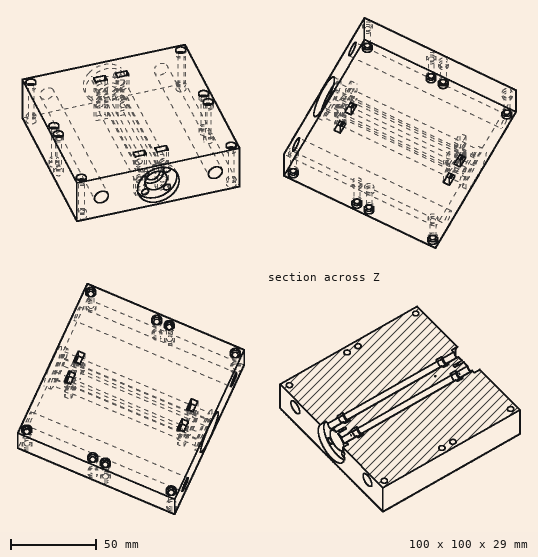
import cadquery as cq
import math

side = 100
height = 29

screw_inset = 4
screw_hole_dia = 3.4
screw_head_dia = 5.8
screw_head_depth = 3.5

rod_dia = 8.5
rod_offset = 35

lead_bore_dia = 8.5
nut_body_dia = 13.5
nut_body_depth = 10.5
flange_dia = 25.5
flange_depth = 4.1

bolt_hole_dia = 4.2
bolt_circle_dia = 19
trap_width = 6.9
trap_length = 4
trap_setback = 12

bolt_offset = bolt_circle_dia / 2 * math.sin(math.radians(45))
half_side = side / 2
half_height = height / 2
screw_outer = half_side - screw_inset
screw_points = [
    (x, y)
    for x in (-screw_outer, -screw_inset, screw_inset, screw_outer)
    for y in (-screw_outer, screw_outer)
]
bolt_points = [(y, z) for y in (-bolt_offset, bolt_offset) for z in (-bolt_offset, bolt_offset)]


def bores_along_x(points, diameter, start, length):
    """Cylinders parallel to X at the given (y, z) points, running from x = start."""
    return (
        cq.Workplane("YZ", origin=(start, 0, 0))
        .pushPoints(points)
        .circle(diameter / 2)
        .extrude(length)
    )


def screw_holes():
    """Vertical through holes with a head counterbore at the top and at the bottom."""
    top_head_floor = half_height - screw_head_depth
    cutter = (
        cq.Workplane("XY", origin=(0, 0, -half_height))
        .pushPoints(screw_points)
        .circle(screw_hole_dia / 2)
        .extrude(height)
    )
    for head_base in (-half_height, top_head_floor):
        heads = (
            cq.Workplane("XY", origin=(0, 0, head_base))
            .pushPoints(screw_points)
            .circle(screw_head_dia / 2)
            .extrude(screw_head_depth)
        )
        cutter = cutter.union(heads)
    return cutter


def nut_trap(y_sign, z_sign):
    """Slot at the -X end, open at the top or bottom face, with a V floor that fits a hexagonal nut."""
    half_width = trap_width / 2
    half_flat_angle = math.radians(30)
    corner_drop = half_width * math.tan(half_flat_angle)
    corner_radius = half_width / math.cos(half_flat_angle)
    centre_y = y_sign * bolt_offset
    mouth_z = z_sign * half_height
    shoulder_z = z_sign * (bolt_offset - corner_drop)
    point_z = z_sign * (bolt_offset - corner_radius)
    outline = [
        (centre_y - half_width, mouth_z),
        (centre_y - half_width, shoulder_z),
        (centre_y, point_z),
        (centre_y + half_width, shoulder_z),
        (centre_y + half_width, mouth_z),
    ]
    start = -half_side + trap_setback
    return cq.Workplane("YZ", origin=(start, 0, 0)).polyline(outline).close().extrude(trap_length)


def nut_seat():
    """Stepped flange recess and nut body bore at the -X end, with the nut traps."""
    seat = bores_along_x([(0, 0)], flange_dia, -half_side, flange_depth)
    seat = seat.union(bores_along_x([(0, 0)], nut_body_dia, -half_side, nut_body_depth))
    for y_sign in (-1, 1):
        for z_sign in (-1, 1):
            seat = seat.union(nut_trap(y_sign, z_sign))
    return seat


block = cq.Workplane("XY").box(side, side, height)
block = block.cut(screw_holes())
block = block.cut(bores_along_x([(-rod_offset, 0), (rod_offset, 0)], rod_dia, -half_side, side))
block = block.cut(bores_along_x([(0, 0)], lead_bore_dia, -half_side, side))
block = block.cut(bores_along_x(bolt_points, bolt_hole_dia, -half_side, side))

seat_cutter = nut_seat()
result = block.cut(seat_cutter).cut(seat_cutter.mirror("YZ"))